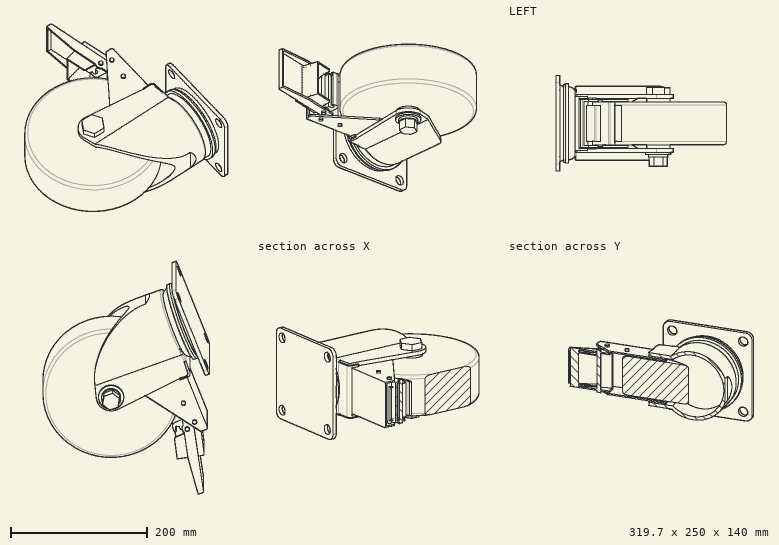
import cadquery as cq
import math


WHEEL_R = 100.0
WHEEL_HALF_W = 31.3
WHEEL_EDGE_R = 4.5
HUB_R = 17.3
AXLE_R = 8.0

PLATE_SIZE = 140.0
PLATE_T = 6.0
PLATE_CORNER_R = 10.5
PLATE_TOP_Y = 150.0
PLATE_BOTTOM_Y = PLATE_TOP_Y - PLATE_T
HOLE_PITCH = 111.5
HOLE_D = 14.5
SWIVEL_X = 58.5
COLLAR_R = 56.0
COLLAR_NECK_R = 53.0
RING_R = 58.2
RING_CHAMFER_H = 3.0
RING_CHAMFER_W = 1.3
RING_TOP_Y = 138.5
RING_BOTTOM_Y = 131.0
DOME_R = 53.7
DOME_FOOT_R = 48.0

FORK_TOP_Y = 121.8
FORK_T = 6.0
FORK_R = 54.5
FORK_HALF_W = 42.5
FORK_INNER_HALF_W = FORK_HALF_W - FORK_T
FORK_INNER_R = FORK_R - FORK_T
FORK_EDGE_R = 2.2
FORK_EYE_R = 22.0
FORK_LIP_X = -12.0
FORK_LIP_SINK = 3.0
FORK_LIP_END_X = 12.5
FORK_LIP_BOTTOM_Y = 103.3
FORK_LIP_CORNER = (-6.5, 121.0)
FORK_LIP_LEFT_TOP_Y = 114.8
FORK_SIDE_LEFT_X = -9.0
FORK_SIDE_CORNER = (-4.5, 118.0)
FORK_SIDE_LEFT_TOP_Y = 113.5
FORK_SIDE_END_Y = 119.0
FORK_CORNER_R = 6.0
FORK_SIDE_CORNER_R = 4.5
FORK_BOTTOM_Y = -FORK_EYE_R - 3.2
FORK_BLANK_LEFT_X = -FORK_EYE_R - 3.2

HEAD_ACROSS_CORNERS = 35.0
HEAD_H = 9.5
WASHER_R = 18.5
WASHER_T = 3.0
NUT_COLLAR_R = 14.0
NUT_COLLAR_T = 3.8
NUT_ACROSS_CORNERS = 26.5
NUT_END_Z = -63.0

COVER_HALF_W = 35.2
COVER_T = 3.0
COVER_LEFT_X = -99.8
COVER_RIGHT_X = 16.0
COVER_TOP_Y = 113.8
COVER_SLOPE_TOP_Y = 102.3
COVER_SLOPE_BOTTOM = (-16.3, 44.5)
COVER_EDGE_R = 3.2
COVER_MOUTH_TOP_Y = 108.5
PAD_X = 3.2
PAD_LENGTH = 12.8
PEDAL_HALF_W = 31.3
PEDAL_T = 3.0
PEDAL_TIP_R = 2.2
LEVER_HALF_W = 26.2
LEVER_T = 2.2
LEVER_TIP_R = 1.5
HOOK_HALF_W = 26.2
PIN_R = 3.2
PIN_HALF_L = 37.5
COVER_PINS = [(-82.2, 99.5), (-49.0, 94.5)]
PEDAL_PIN = (-90.0, 85.0)
PEDAL_PIN_HALF_L = 34.0
PEDAL_BOSS_R = 7.7


def slab(outline, half_width):
    """Extrude a closed XY outline symmetrically about the mid plane."""
    return outline.extrude(half_width, both=True)


def polygon_slab(points, half_width):
    return slab(cq.Workplane("XY").polyline(points).close(), half_width)


def round_corner(body, corner, radius):
    """Fillet the edge parallel to Z that passes through an XY corner."""
    return body.edges(cq.NearestToPointSelector((*corner, 0))).fillet(radius)


def disc(radius, z_from, z_to):
    """Cylinder on the wheel axis."""
    return cq.Workplane("XY").workplane(offset=z_from).circle(radius).extrude(z_to - z_from)


def hexagon(across_corners, z_from, z_to):
    """Hexagonal prism on the wheel axis with two corners on the Y axis."""
    prism = cq.Workplane("XY").workplane(offset=z_from).polygon(6, across_corners).extrude(z_to - z_from)
    return prism.rotate((0, 0, 0), (0, 0, 1), 90)


def pin(place, half_length):
    return slab(cq.Workplane("XY").center(*place).circle(PIN_R), half_length)


def make_wheel():
    tread = disc(WHEEL_R, -WHEEL_HALF_W, WHEEL_HALF_W).edges("%CIRCLE").fillet(WHEEL_EDGE_R)
    hub = disc(HUB_R, -FORK_INNER_HALF_W, FORK_INNER_HALF_W)
    bore = disc(AXLE_R, -FORK_INNER_HALF_W, FORK_INNER_HALF_W)
    return tread.union(hub).cut(bore)


def make_plate():
    plate = (
        cq.Workplane("XZ", origin=(SWIVEL_X, PLATE_TOP_Y, 0))
        .rect(PLATE_SIZE, PLATE_SIZE)
        .extrude(PLATE_T)
        .edges("|Y")
        .fillet(PLATE_CORNER_R)
    )
    return (
        plate.faces("<Y")
        .workplane(origin=(SWIVEL_X, PLATE_BOTTOM_Y, 0))
        .rect(HOLE_PITCH, HOLE_PITCH, forConstruction=True)
        .vertices()
        .hole(HOLE_D)
    )


def make_swivel_head():
    """Collar, ball race ring and dome, turned about the swivel axis."""
    collar_middle = (COLLAR_R - 1.0, (PLATE_BOTTOM_Y + RING_TOP_Y) / 2)
    dome_middle = (DOME_R - 1.3, (RING_BOTTOM_Y + FORK_TOP_Y) / 2)
    return (
        cq.Workplane("XY", origin=(SWIVEL_X, 0, 0))
        .moveTo(0, PLATE_BOTTOM_Y)
        .lineTo(COLLAR_R, PLATE_BOTTOM_Y)
        .threePointArc(collar_middle, (COLLAR_NECK_R, RING_TOP_Y))
        .lineTo(RING_R - RING_CHAMFER_W, RING_TOP_Y)
        .lineTo(RING_R, RING_TOP_Y - RING_CHAMFER_H)
        .lineTo(RING_R, RING_BOTTOM_Y)
        .lineTo(DOME_R, RING_BOTTOM_Y)
        .threePointArc(dome_middle, (DOME_FOOT_R, FORK_TOP_Y))
        .lineTo(0, FORK_TOP_Y)
        .close()
        .revolve(360, (0, 0, 0), (0, 1, 0))
    )


def fork_section(top_y, radius, half_width):
    """Straight-sided, round-ended bar that runs down from top_y to the foot of the fork."""
    flat_end_x = SWIVEL_X - math.sqrt(radius**2 - half_width**2)
    return (
        cq.Workplane("XZ", origin=(0, top_y, 0))
        .moveTo(FORK_BLANK_LEFT_X, -half_width)
        .lineTo(flat_end_x, -half_width)
        .threePointArc((SWIVEL_X + radius, 0), (flat_end_x, half_width))
        .lineTo(FORK_BLANK_LEFT_X, half_width)
        .close()
        .extrude(top_y - FORK_BOTTOM_Y)
    )


def make_lip_step(side):
    """Cutter that sinks the lip along the fork's rear and top edges below one side face."""
    margin = 3.2
    return (
        cq.Workplane("XY", origin=(0, 0, side * (FORK_HALF_W - FORK_LIP_SINK)))
        .moveTo(FORK_LIP_X - margin, FORK_LIP_BOTTOM_Y)
        .lineTo(FORK_SIDE_LEFT_X, FORK_LIP_BOTTOM_Y)
        .lineTo(FORK_SIDE_LEFT_X, FORK_SIDE_LEFT_TOP_Y)
        .radiusArc(FORK_SIDE_CORNER, FORK_SIDE_CORNER_R)
        .lineTo(FORK_LIP_END_X, FORK_SIDE_END_Y)
        .lineTo(FORK_LIP_END_X, FORK_TOP_Y + margin)
        .lineTo(FORK_LIP_X - margin, FORK_TOP_Y + margin)
        .close()
        .extrude(side * (FORK_LIP_SINK + margin))
    )


def make_fork():
    outside = fork_section(FORK_TOP_Y, FORK_R, FORK_HALF_W)
    outside = outside.faces(">Y").edges("not <X").fillet(FORK_EDGE_R)
    inside = fork_section(FORK_TOP_Y - FORK_T, FORK_INNER_R, FORK_INNER_HALF_W)
    right_x = SWIVEL_X + FORK_R
    trim_x = right_x + 3.2
    side_outline = (
        cq.Workplane("XY")
        .moveTo(trim_x, FORK_TOP_Y)
        .lineTo(trim_x, 103.0)
        .lineTo(right_x, 103.0)
        .lineTo(109.5, 95.3)
        .threePointArc((92.7, 34.0), (25.0, -16.0))
        .lineTo(5.0, -21.5)
        .threePointArc((-15.5, -15.7), (-21.7, 2.5))
        .lineTo(FORK_SIDE_LEFT_X, FORK_LIP_BOTTOM_Y)
        .lineTo(FORK_LIP_X, FORK_LIP_BOTTOM_Y)
        .lineTo(FORK_LIP_X, FORK_LIP_LEFT_TOP_Y)
        .radiusArc(FORK_LIP_CORNER, FORK_CORNER_R)
        .lineTo(FORK_LIP_END_X, FORK_TOP_Y)
        .close()
    )
    fork = outside.cut(inside).intersect(slab(side_outline, FORK_R))
    return fork.cut(make_lip_step(1)).cut(make_lip_step(-1))


def make_axle():
    """Bolt with its head above the fork, washer and nut below it."""
    washer_z = -FORK_HALF_W - WASHER_T
    collar_z = washer_z - NUT_COLLAR_T
    shaft = disc(AXLE_R, NUT_END_Z, FORK_HALF_W)
    head = hexagon(HEAD_ACROSS_CORNERS, FORK_HALF_W, FORK_HALF_W + HEAD_H)
    washer = disc(WASHER_R, washer_z, -FORK_HALF_W)
    collar = disc(NUT_COLLAR_R, collar_z, washer_z)
    nut = hexagon(NUT_ACROSS_CORNERS, NUT_END_Z, collar_z)
    return shaft.union(head).union(washer).union(collar).union(nut)


def make_brake_cover():
    """Sheet cover open below, with a lip over its end mouth, hung from the fork top by a pad."""
    outline = [
        (COVER_LEFT_X, COVER_TOP_Y),
        (COVER_RIGHT_X, COVER_TOP_Y),
        (COVER_RIGHT_X, COVER_SLOPE_BOTTOM[1]),
        COVER_SLOPE_BOTTOM,
        (COVER_LEFT_X, COVER_SLOPE_TOP_Y),
    ]
    cover = polygon_slab(outline, COVER_HALF_W)
    cover = round_corner(cover, outline[0], COVER_EDGE_R)
    hollow_left_x = COVER_LEFT_X + COVER_T
    hollow = cq.Workplane("XY").box(
        COVER_RIGHT_X - hollow_left_x,
        COVER_TOP_Y - COVER_T,
        2 * (COVER_HALF_W - COVER_T),
        centered=(False, False, True),
    ).translate((hollow_left_x, 0, 0))
    mouth = cq.Workplane("XY").box(
        COVER_T, COVER_MOUTH_TOP_Y, 2 * (COVER_HALF_W - COVER_T), centered=(False, False, True)
    ).translate((COVER_LEFT_X, 0, 0))
    pad = cq.Workplane("XY").box(
        PAD_LENGTH, FORK_TOP_Y - FORK_T - COVER_TOP_Y, 2 * COVER_HALF_W, centered=(False, False, True)
    ).translate((PAD_X, COVER_TOP_Y, 0))
    return cover.cut(hollow).cut(mouth).union(pad)


def make_pedal():
    """Foot pedal: a tapered channel open below, rounded around its hinge pin."""
    tip_x = -191.2
    heel_x = -73.0
    tip_top_y = 72.3
    tip_bottom_y = 63.5
    heel_top_y = 99.0
    heel_bottom_y = 83.5
    knee = (-135.0, 69.5)
    outline = [(tip_x, tip_top_y), (heel_x, heel_top_y), (heel_x, heel_bottom_y), knee, (tip_x, tip_bottom_y)]
    hollow_outline = [
        (tip_x + PEDAL_T, tip_top_y - PEDAL_T),
        (heel_x, heel_top_y - PEDAL_T),
        (heel_x, 0),
        (tip_x + PEDAL_T, 0),
    ]
    boss = slab(cq.Workplane("XY").center(*PEDAL_PIN).circle(PEDAL_BOSS_R), PEDAL_HALF_W)
    hollow = polygon_slab(hollow_outline, PEDAL_HALF_W - PEDAL_T)
    pedal = round_corner(polygon_slab(outline, PEDAL_HALF_W), outline[0], PEDAL_TIP_R)
    return pedal.union(boss).cut(hollow)


def make_release_lever():
    """Box-shaped lever through the pedal, open below and towards the wheel."""
    top_left = (-139.0, 93.0)
    top_right = (-89.5, 105.2)
    bottom_left = (-130.5, 53.7)
    outline = [top_left, top_right, (-97.2, 77.7), (-98.2, 63.5), (-100.0, 61.0), bottom_left]
    hollow_outline = [
        (top_left[0] + LEVER_T, top_left[1] - LEVER_T),
        (top_right[0], top_right[1] - LEVER_T),
        (top_right[0], bottom_left[1]),
        (bottom_left[0] + LEVER_T, bottom_left[1]),
    ]
    hollow = polygon_slab(hollow_outline, LEVER_HALF_W - LEVER_T)
    lever = round_corner(polygon_slab(outline, LEVER_HALF_W), top_left, LEVER_TIP_R)
    return lever.cut(hollow)


def make_brake_hook():
    """Hooked brake bar carried by the pedal's hinge pin."""
    outline = (
        cq.Workplane("XY")
        .moveTo(*PEDAL_PIN)
        .lineTo(-75.0, 84.7)
        .lineTo(-76.0, 71.3)
        .threePointArc((-78.0, 66.8), (-82.8, 65.0))
        .lineTo(-89.5, 65.0)
        .lineTo(-89.5, 68.0)
        .lineTo(-86.0, 68.0)
        .threePointArc((-82.8, 71.3), (-86.0, 74.5))
        .lineTo(-89.5, 74.5)
        .close()
    )
    return slab(outline, HOOK_HALF_W)


def make_frame():
    frame = make_plate().union(make_swivel_head()).union(make_fork()).union(make_axle())
    frame = frame.union(make_brake_cover())
    for place in COVER_PINS:
        frame = frame.union(pin(place, PIN_HALF_L))
    frame = frame.union(pin(PEDAL_PIN, PEDAL_PIN_HALF_L))
    return frame.union(make_pedal()).union(make_release_lever()).union(make_brake_hook())


wheel = make_wheel()
frame = make_frame()

result = cq.Compound.makeCompound([wheel.val(), frame.val()])